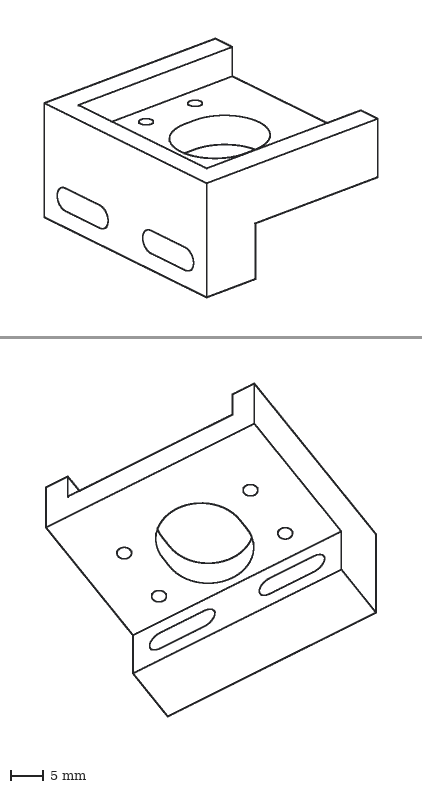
import cadquery as cq

width = 38.0
depth = 35.0
height = 19.5

plate_thickness = 10.0
leg_thickness = 10.0

pocket_width = 30.0
pocket_depth = 5.0
front_wall = 3.5

opening_center_y = 19.3
opening_width = 14.0
opening_length = 16.0
screw_diameter = 2.25
screw_spacing_x = 23.0
screw_spacing_y = 10.0

slot_length = 11.9
slot_height = 3.9
slot_spacing = 20.0
slot_center_z = 4.8


def make_body():
    """Plate and leg; X is centred, the front face is at Y = 0 and the bottom at Z = 0."""
    plate_bottom = height - plate_thickness
    return (
        cq.Workplane("YZ")
        .moveTo(0, 0)
        .lineTo(leg_thickness, 0)
        .lineTo(leg_thickness, plate_bottom)
        .lineTo(depth, plate_bottom)
        .lineTo(depth, height)
        .lineTo(0, height)
        .close()
        .extrude(width / 2, both=True)
    )


def make_pocket():
    """Block that leaves a front wall and two side rails standing."""
    return (
        cq.Workplane("XY")
        .box(pocket_width, depth - front_wall, pocket_depth, centered=(True, False, False))
        .translate((0, front_wall, height - pocket_depth))
    )


def make_opening():
    """Oval with round ends towards the front and back."""
    return (
        cq.Workplane("XY")
        .center(0, opening_center_y)
        .slot2D(opening_length, opening_width, 90)
        .extrude(height)
    )


def make_screw_holes():
    """Four holes placed symmetrically around the opening."""
    return (
        cq.Workplane("XY")
        .center(0, opening_center_y)
        .rarray(screw_spacing_x, screw_spacing_y, 2, 2)
        .circle(screw_diameter / 2)
        .extrude(height)
    )


def make_leg_slots():
    """Two horizontal slots running through the leg along Y."""
    return (
        cq.Workplane("XZ")
        .center(0, slot_center_z)
        .rarray(slot_spacing, 1, 2, 1)
        .slot2D(slot_length, slot_height)
        .extrude(-leg_thickness)
    )


result = (
    make_body()
    .cut(make_pocket())
    .cut(make_opening())
    .cut(make_screw_holes())
    .cut(make_leg_slots())
)